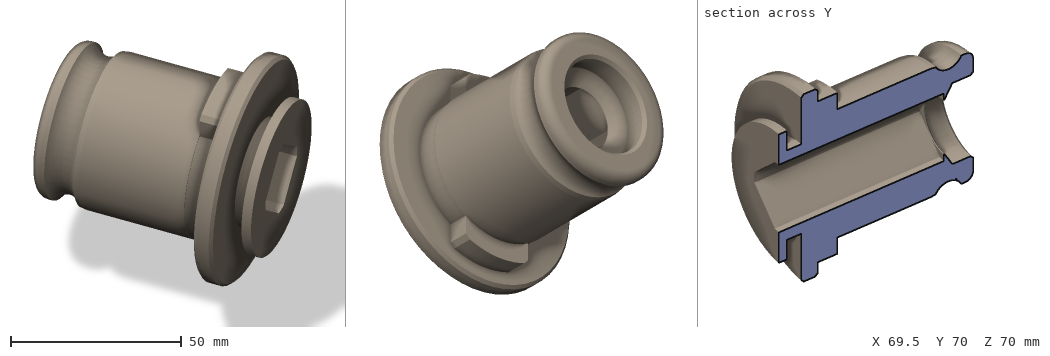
import cadquery as cq
import math

length = 69.5
rear_disc_width = 3.0
neck_width = 5.0
flange_width = 6.0
collar_width = 7.0
rear_disc_start = length - rear_disc_width
flange_end = rear_disc_start - neck_width
flange_start = flange_end - flange_width
collar_start = flange_start - collar_width

flange_radius = 35.0
body_radius = 24.0
collar_radius = 23.7
neck_radius = 33.5 / 2
flange_chamfer = 1.0
nose_fillet = 3.0

groove_center = 8.95
groove_floor_radius = 21.0
groove_arc_radius = 5.0
lead_in_radius = 23.7
lead_in_end = 15.1

lug_radius = 30.0
lug_half_width = 12.0
lug_top_half_width = 10.5
lug_shoulder_height = 26.6

bore_radius = 30.0 / 2
bore_depth = 7.5
mouth_chamfer = 1.0
hole_radius = 10.0
seat_depth = (bore_radius - hole_radius) * math.tan(math.radians(30))
socket_start = 10.65
socket_width = 20.2
socket_corner_diameter = 25.0


def groove_half_width(radius):
    """Half the axial width of the groove arc at a given distance from the axis."""
    rise = groove_floor_radius + groove_arc_radius - radius
    return math.sqrt(groove_arc_radius**2 - rise**2)


def make_body():
    """Revolve the outer profile (axial position, radius) about the X axis."""
    fillet_offset = nose_fillet * (1 - math.sqrt(0.5))
    groove_start = groove_center - groove_half_width(body_radius)
    groove_end = groove_center + groove_half_width(lead_in_radius)
    return (
        cq.Workplane("XY")
        .lineTo(0, body_radius - nose_fillet)
        .threePointArc((fillet_offset, body_radius - fillet_offset), (nose_fillet, body_radius))
        .lineTo(groove_start, body_radius)
        .threePointArc((groove_center, groove_floor_radius), (groove_end, lead_in_radius))
        .lineTo(lead_in_end, body_radius)
        .lineTo(collar_start, body_radius)
        .lineTo(collar_start, collar_radius)
        .lineTo(flange_start, collar_radius)
        .lineTo(flange_start, flange_radius - flange_chamfer)
        .lineTo(flange_start + flange_chamfer, flange_radius)
        .lineTo(flange_end - flange_chamfer, flange_radius)
        .lineTo(flange_end, flange_radius - flange_chamfer)
        .lineTo(flange_end, neck_radius)
        .lineTo(rear_disc_start, neck_radius)
        .lineTo(rear_disc_start, body_radius)
        .lineTo(length, body_radius)
        .lineTo(length, 0)
        .close()
        .revolve(360, (0, 0, 0), (1, 0, 0))
    )


def make_lugs():
    """Both lugs as one bar across the axis, with arched ends and bevelled corners."""
    top_corner_height = math.sqrt(lug_radius**2 - lug_top_half_width**2)
    return (
        cq.Workplane("YZ", origin=(collar_start, 0, 0))
        .moveTo(lug_half_width, -lug_shoulder_height)
        .lineTo(lug_half_width, lug_shoulder_height)
        .lineTo(lug_top_half_width, top_corner_height)
        .threePointArc((0, lug_radius), (-lug_top_half_width, top_corner_height))
        .lineTo(-lug_half_width, lug_shoulder_height)
        .lineTo(-lug_half_width, -lug_shoulder_height)
        .lineTo(-lug_top_half_width, -top_corner_height)
        .threePointArc((0, -lug_radius), (lug_top_half_width, -top_corner_height))
        .close()
        .extrude(collar_width)
    )


def make_bore():
    """Chamfered bore, conical seat and round hole up to the socket."""
    return (
        cq.Workplane("XY")
        .lineTo(0, bore_radius + mouth_chamfer)
        .lineTo(mouth_chamfer, bore_radius)
        .lineTo(bore_depth, bore_radius)
        .lineTo(bore_depth + seat_depth, hole_radius)
        .lineTo(socket_start, hole_radius)
        .lineTo(socket_start, 0)
        .close()
        .revolve(360, (0, 0, 0), (1, 0, 0))
    )


def make_socket():
    """Square socket standing on its corner, with its corners rounded by a larger bore."""
    depth = length - socket_start
    base = cq.Workplane("YZ", origin=(socket_start, 0, 0))
    square = base.transformed(rotate=(0, 0, 45)).rect(socket_width, socket_width).extrude(depth)
    return square.intersect(base.circle(socket_corner_diameter / 2).extrude(depth))


result = make_body().union(make_lugs()).cut(make_bore()).cut(make_socket())